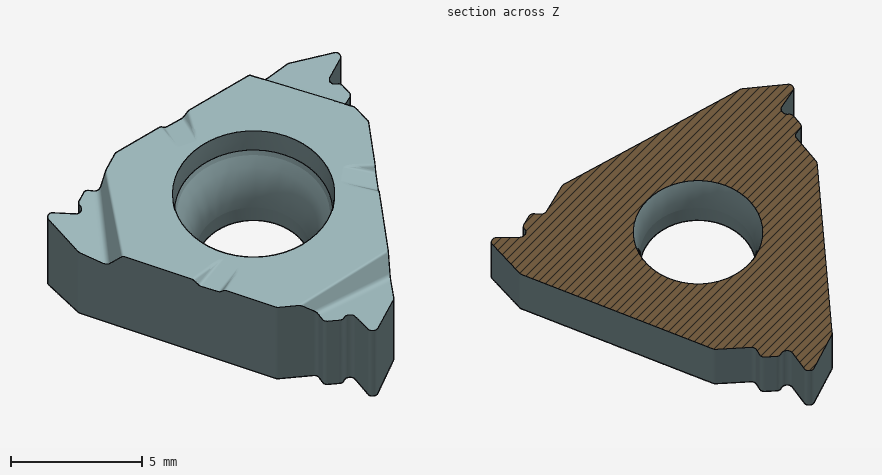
import cadquery as cq
import math

CORNERS = 3
thickness = 4.32
inscribed_diameter = 9.525
inscribed_radius = inscribed_diameter / 2

tip_start_x = -3.90
tip_width = 0.27
tip_y = 6.89
tip_radius = 0.18
flank_angle = math.radians(27)

root_y = 5.88
root_end_x = -2.81
shoulder_y = 6.128
shoulder_start_x = -2.70
shoulder_end_x = -1.98
ledge_y = 5.63
ledge_start_x = -1.77
root_radius = 0.22
shoulder_radius = 0.2
side_blend_radius = 0.25

rake_angle = math.radians(10)
tip_depth = 0.36
rake_wall_y = 3.37
rake_wall_heading = 31.9
rake_wall_lean = 33
rake_valley_radius = 0.31
rake_edge_radius = 0.14
rake_edge_reach = 2.0
cutter_size = 8.0

hole_diameter = 4.4
hole_radius = hole_diameter / 2
bore_radius = 3.09
bore_foot_radius = 3.01
bore_depth = 1.06
seat_radius = 2.92
seat_depth = 1.27
throat_depth = 3.55

notch_end_x = -3.458
notch_end_y = -0.55
notch_heading = math.radians(14)
notch_slope = math.radians(10)
notch_floor_width = 0.81
notch_wall_angle = math.radians(45)
notch_radius = 0.2
notch_height = 0.6
notch_length = 3.0
notch_rim_point = (-4.23, 0.22)


def corner_copies(solid):
    """Return the solid turned to every corner of the insert."""
    return [solid.rotate((0, 0, 0), (0, 0, 1), i * 360 / CORNERS) for i in range(CORNERS)]


def turned(point, index):
    """Turn an (x, y) point clockwise to another corner."""
    angle = -2 * math.pi * index / CORNERS
    x, y = point
    return (
        x * math.cos(angle) - y * math.sin(angle),
        x * math.sin(angle) + y * math.cos(angle),
    )


def corner_outline():
    """Sharp outline points of one corner, each with its rounding radius."""
    tip_end_x = tip_start_x + tip_width
    flank_foot_y = tip_y - (tip_start_x + inscribed_radius) / math.tan(flank_angle)
    root_start_x = tip_end_x + (tip_y - root_y) * math.tan(flank_angle)
    next_side = math.pi / CORNERS
    ledge_end_x = (inscribed_radius - ledge_y * math.sin(next_side)) / math.cos(next_side)
    return [
        ((-inscribed_radius, flank_foot_y), side_blend_radius),
        ((tip_start_x, tip_y), tip_radius),
        ((tip_end_x, tip_y), tip_radius),
        ((root_start_x, root_y), root_radius),
        ((root_end_x, root_y), root_radius),
        ((shoulder_start_x, shoulder_y), shoulder_radius),
        ((shoulder_end_x, shoulder_y), shoulder_radius),
        ((ledge_start_x, ledge_y), shoulder_radius),
        ((ledge_end_x, ledge_y), side_blend_radius),
    ]


def make_blank():
    """Extrude the outline and round its upright edges."""
    rounded_points = [
        (turned(point, i), radius) for i in range(CORNERS) for point, radius in corner_outline()
    ]
    blank = cq.Workplane("XY").polyline([p for p, _ in rounded_points]).close().extrude(thickness)
    for (x, y), radius in rounded_points:
        edge = cq.selectors.NearestToPointSelector((x, y, thickness / 2))
        blank = blank.edges("|Z").edges(edge).fillet(radius)
    return blank


def make_hole():
    """Screw hole: slightly tapered bore, then a convex seat running into the throat."""
    run = throat_depth - seat_depth
    step = seat_radius - hole_radius
    arc_radius = (run**2 + step**2) / (2 * step)
    half_angle = math.asin(run / arc_radius) / 2
    seat_middle = (
        hole_radius + arc_radius * (1 - math.cos(half_angle)),
        thickness - throat_depth + arc_radius * math.sin(half_angle),
    )
    return (
        cq.Workplane("XZ")
        .moveTo(0, 0)
        .lineTo(hole_radius, 0)
        .lineTo(hole_radius, thickness - throat_depth)
        .threePointArc(seat_middle, (seat_radius, thickness - seat_depth))
        .lineTo(bore_foot_radius, thickness - bore_depth)
        .lineTo(bore_radius, thickness)
        .lineTo(0, thickness)
        .close()
        .revolve(360, (0, 0, 0), (0, 1, 0))
    )


def make_rake_cutter():
    """Space above the rake face and in front of its leaning back wall."""
    floor_plane = cq.Plane(
        origin=(tip_start_x, tip_y, thickness - tip_depth),
        xDir=(1, 0, 0),
        normal=(0, -math.sin(rake_angle), math.cos(rake_angle)),
    )
    above_floor = cq.Workplane(floor_plane).box(
        2 * cutter_size, 2 * cutter_size, cutter_size, centered=(True, True, False)
    )
    wall_plane = (
        cq.Plane(origin=(-inscribed_radius, rake_wall_y, thickness))
        .rotated((0, 0, rake_wall_heading))
        .rotated((rake_wall_lean - 90, 0, 0))
    )
    before_wall = cq.Workplane(wall_plane).box(
        2 * cutter_size, 2 * cutter_size, cutter_size, centered=(True, True, False)
    )
    wall_fall = math.cos(math.radians(rake_wall_heading)) / math.tan(math.radians(rake_wall_lean))
    floor_fall = math.tan(rake_angle)
    valley_y = (tip_depth + floor_fall * tip_y + wall_fall * rake_wall_y) / (wall_fall + floor_fall)
    valley_z = thickness - tip_depth - floor_fall * (tip_y - valley_y)
    valley = cq.selectors.NearestToPointSelector((-inscribed_radius, valley_y, valley_z))
    return above_floor.intersect(before_wall).edges(valley).fillet(rake_valley_radius)


def make_notch_cutter():
    """Flat-floored notch, deepening from its inner end toward the side face."""
    heading_x = math.cos(notch_heading)
    heading_y = -math.sin(notch_heading)
    plane = cq.Plane(
        origin=(notch_end_x, notch_end_y, thickness),
        xDir=(heading_y, -heading_x, 0),
        normal=(
            -heading_x * math.cos(notch_slope),
            -heading_y * math.cos(notch_slope),
            -math.sin(notch_slope),
        ),
    )
    half_floor = notch_floor_width / 2
    half_top = half_floor + notch_height / math.tan(notch_wall_angle)
    profile = [
        (-half_floor, 0),
        (half_floor, 0),
        (half_top, notch_height),
        (-half_top, notch_height),
    ]
    cutter = cq.Workplane(plane).polyline(profile).close().extrude(notch_length)
    for side in (-half_floor, half_floor):
        corner_line = plane.toWorldCoords((side, 0, notch_length / 2))
        edge = cq.selectors.NearestToPointSelector(corner_line)
        cutter = cutter.edges(edge).fillet(notch_radius)
    return cutter


def cut_rakes(body):
    """Cut the rake face at every corner and round the top edge of its wall."""
    body_with_rakes = body
    for cutter in corner_copies(make_rake_cutter()):
        body_with_rakes = body_with_rakes.cut(cutter)
    heading = math.radians(rake_wall_heading)
    edge_middle = (
        -inscribed_radius + rake_edge_reach * math.cos(heading),
        rake_wall_y + rake_edge_reach * math.sin(heading),
    )
    for i in range(CORNERS):
        edge = cq.selectors.NearestToPointSelector((*turned(edge_middle, i), thickness))
        body_with_rakes = body_with_rakes.edges(edge).fillet(rake_edge_radius)
    return body_with_rakes


def cut_notches(body):
    """Cut the notch in every side and round its top edges."""
    notched = body
    for cutter in corner_copies(make_notch_cutter()):
        notched = notched.cut(cutter)
    for i in range(CORNERS):
        edge = cq.selectors.NearestToPointSelector((*turned(notch_rim_point, i), thickness))
        notched = notched.edges(edge).fillet(notch_radius)
    return notched


result = cut_notches(cut_rakes(make_blank().cut(make_hole())))